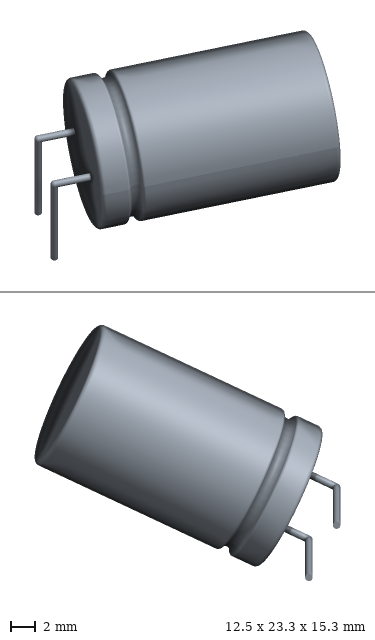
import cadquery as cq
import math

can_radius = 6.25
can_length = 20.0
core_radius = 4.75
end_fillet = 0.35

groove_position = 2.94
groove_radius = 0.54
groove_lip_radius = 0.23

stripe_angle = 30.0

lead_radius = 0.3
lead_spacing = 5.0
lead_tip_z = -9.02
lead_reach = 23.3 - can_length - lead_radius


def arc_middle(center, radius, angle):
    """Point on an arc of the (radius, Y) profile; the angle is in degrees from +radius toward +Y."""
    turn = math.radians(angle)
    return (center[0] + radius * math.cos(turn), center[1] + radius * math.sin(turn))


def make_sleeve_profile():
    """Half section of the sleeve in the XY plane, from the core out to the grooved outer surface."""
    lip_depth = can_radius - groove_lip_radius
    center_distance = groove_radius + groove_lip_radius
    lip_offset = math.sqrt(center_distance**2 - groove_lip_radius**2)
    share = groove_radius / center_distance
    tangent_x = can_radius - groove_lip_radius * share
    tangent_offset = lip_offset * share
    lip_sweep = math.degrees(math.acos(groove_lip_radius / center_distance))
    front_lip = (lip_depth, groove_position - lip_offset)
    rear_lip = (lip_depth, groove_position + lip_offset)

    corner_x = can_radius - end_fillet
    front_corner = (corner_x, end_fillet)
    rear_corner = (corner_x, can_length - end_fillet)
    return (
        cq.Workplane("XY")
        .moveTo(core_radius, 0)
        .lineTo(corner_x, 0)
        .threePointArc(arc_middle(front_corner, end_fillet, -45), (can_radius, end_fillet))
        .lineTo(can_radius, front_lip[1])
        .threePointArc(
            arc_middle(front_lip, groove_lip_radius, lip_sweep / 2),
            (tangent_x, groove_position - tangent_offset),
        )
        .threePointArc(
            (can_radius - groove_radius, groove_position),
            (tangent_x, groove_position + tangent_offset),
        )
        .threePointArc(
            arc_middle(rear_lip, groove_lip_radius, -lip_sweep / 2),
            (can_radius, rear_lip[1]),
        )
        .lineTo(can_radius, can_length - end_fillet)
        .threePointArc(arc_middle(rear_corner, end_fillet, 45), (corner_x, can_length))
        .lineTo(core_radius, can_length)
        .close()
    )


def make_sleeve_sector(start_angle, sweep):
    """Part of the sleeve that starts at the given angle about Y and sweeps on from there."""
    sector = make_sleeve_profile().revolve(sweep, (0, 0, 0), (0, 1, 0))
    return sector.rotate((0, 0, 0), (0, 1, 0), start_angle)


def make_sleeve():
    return make_sleeve_sector(stripe_angle / 2, 360.0 - stripe_angle)


def make_stripe():
    return make_sleeve_sector(-stripe_angle / 2, stripe_angle)


def make_core():
    return cq.Workplane("XZ").circle(core_radius).extrude(-can_length)


def make_lead(x):
    """Lead that leaves the front face, then turns down around a ball-shaped bend."""
    bend = (x, -lead_reach, 0)
    horizontal = cq.Workplane("XZ").center(x, 0).circle(lead_radius).extrude(lead_reach)
    vertical = cq.Workplane("XY").center(x, -lead_reach).circle(lead_radius).extrude(lead_tip_z)
    ball = cq.Workplane("XY").sphere(lead_radius).translate(bend)
    return horizontal.union(vertical).union(ball)


sleeve = make_sleeve()
stripe = make_stripe()
core = make_core()
leads = [make_lead(side * lead_spacing / 2) for side in (-1, 1)]

result = cq.Compound.makeCompound(
    [sleeve.val(), stripe.val(), core.val(), *[lead.solids().val() for lead in leads]]
)